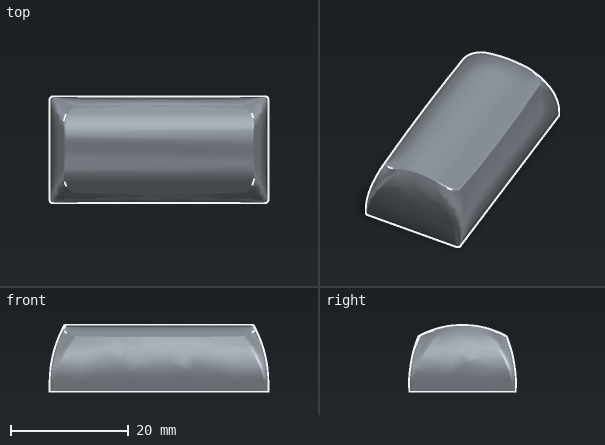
import cadquery as cq
import math

length = 37.27
width = 18.25
base_width = 18.1
height = 11.4

widest_level = 1.5
wall_radius = 20.5
long_wall_bow = 0.35
short_wall_bow = 0.15

base_corner_radius = 0.55
crest_corner_radius = 3.45
corner_growth = 1.4

crown_radius = 15.28
rim_radius = 0.45

loft_height = height + 1.1
upper_steps = 5


def wall_inset(level):
    """How far the walls have curved inward at a height."""
    rise = max(level - widest_level, 0.0)
    return wall_radius - math.sqrt(wall_radius**2 - rise**2)


def section(level, corner_width):
    """Horizontal outline: four corner arcs joined by slightly bowed sides."""
    growth = level / height
    inset = wall_inset(level)
    radius = base_corner_radius + (crest_corner_radius - base_corner_radius) * growth**corner_growth

    side_slack = (width - base_width) / 2 * (1 - growth)
    side_x = length / 2 - inset
    side_y = width / 2 - inset - side_slack

    corner_x = side_x - short_wall_bow * growth**2
    corner_y = corner_width / 2 - inset - long_wall_bow * growth**2
    flat_x = corner_x - radius
    flat_y = corner_y - radius
    mid_x = flat_x + radius * math.sqrt(0.5)
    mid_y = flat_y + radius * math.sqrt(0.5)

    stretches = [
        ((mid_x, mid_y), (flat_x, corner_y)),
        ((0, side_y), (-flat_x, corner_y)),
        ((-mid_x, mid_y), (-corner_x, flat_y)),
        ((-side_x, 0), (-corner_x, -flat_y)),
        ((-mid_x, -mid_y), (-flat_x, -corner_y)),
        ((0, -side_y), (flat_x, -corner_y)),
        ((mid_x, -mid_y), (corner_x, -flat_y)),
        ((side_x, 0), (corner_x, flat_y)),
    ]
    outline = cq.Workplane("XY", origin=(0, 0, level)).moveTo(corner_x, flat_y)
    for index, (middle, end) in enumerate(stretches):
        is_side = index % 2 == 1
        if is_side and level == 0:
            outline = outline.lineTo(*end)
        else:
            outline = outline.threePointArc(middle, end)
    return outline.close().val()


def walls():
    """Solid with the curved walls, taller than the finished part."""
    step = (loft_height - widest_level) / upper_steps
    sections = [section(0, base_width)]
    for index in range(upper_steps + 1):
        sections.append(section(widest_level + index * step, width))
    return cq.Workplane(cq.Solid.makeLoft(sections))


def crown():
    """Cylinder along X whose upper surface is the domed top."""
    axis_start = (-length, 0, height - crown_radius)
    return cq.Workplane("YZ", origin=axis_start).circle(crown_radius).extrude(2 * length)


domed_block = walls().intersect(crown())
result = domed_block.faces(">Z").edges().fillet(rim_radius).solids()